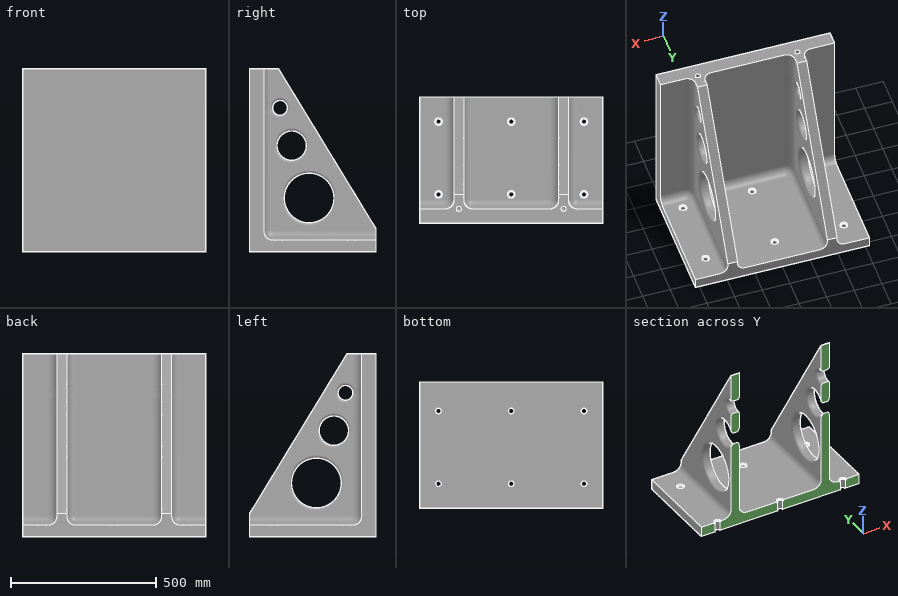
import cadquery as cq
import math

WIDTH = 630.0
DEPTH = 435.0
HEIGHT = 630.0
WALL_THICKNESS = 50.0
BASE_THICKNESS = 40.0
INNER_RADIUS = 30.0

RIB_THICKNESS = 35.0
RIB_OFFSET = 180.0
RIB_TOP_Y = 100.0
RIB_REAR_Z = 80.0

RIB_WINDOWS = [
    (205.0, 185.0, 170.0),
    (145.0, 365.0, 100.0),
    (105.0, 495.0, 50.0),
]
WINDOW_RIM_RADIUS = 10.0

BOLT_COLUMNS_X = (-250.0, 0.0, 250.0)
BOLT_ROWS_Y = (100.0, 350.0)
BOLT_DIAMETER = 18.0
COUNTERBORE_DIAMETER = 26.0
COUNTERBORE_DEPTH = 5.0

LIFT_DIAMETER = 17.5
LIFT_DEPTH = 50.0
LIFT_POINT_ANGLE = 118.0

RIB_CENTERS_X = (-RIB_OFFSET, RIB_OFFSET)


def make_plates():
    """Wall and base joined into an L that runs the full width."""
    outline = [
        (0, 0),
        (DEPTH, 0),
        (DEPTH, BASE_THICKNESS),
        (WALL_THICKNESS, BASE_THICKNESS),
        (WALL_THICKNESS, HEIGHT),
        (0, HEIGHT),
    ]
    return cq.Workplane("YZ").polyline(outline).close().extrude(WIDTH / 2, both=True)


def make_rib(center_x):
    """One rib, sloping from the top of the wall to the rear of the base."""
    outline = [
        (0, 0),
        (DEPTH, 0),
        (DEPTH, RIB_REAR_Z),
        (RIB_TOP_Y, HEIGHT),
        (0, HEIGHT),
    ]
    rib = cq.Workplane("YZ").polyline(outline).close().extrude(RIB_THICKNESS / 2, both=True)
    return rib.translate((center_x, 0, 0))


def round_inner_corners(body):
    """Round every inside edge where the wall, base and ribs meet."""
    tolerance = 0.1
    side = WIDTH / 2 - tolerance
    wall_edges = cq.selectors.BoxSelector(
        (-side, WALL_THICKNESS - tolerance, BASE_THICKNESS - tolerance),
        (side, WALL_THICKNESS + tolerance, HEIGHT - tolerance),
    )
    base_edges = cq.selectors.BoxSelector(
        (-side, WALL_THICKNESS - tolerance, BASE_THICKNESS - tolerance),
        (side, DEPTH - tolerance, BASE_THICKNESS + tolerance),
    )
    return body.edges(wall_edges + base_edges).fillet(INNER_RADIUS)


def cut_rib_windows(body):
    """Bore the windows straight through both ribs, then round their rims on every rib face."""
    for center_y, center_z, diameter in RIB_WINDOWS:
        bore = (
            cq.Workplane("YZ")
            .center(center_y, center_z)
            .circle(diameter / 2)
            .extrude(WIDTH / 2, both=True)
        )
        body = body.cut(bore)
    return body.edges("%CIRCLE").fillet(WINDOW_RIM_RADIUS)


def cut_bolt_holes(body):
    centers = [(x, y) for x in BOLT_COLUMNS_X for y in BOLT_ROWS_Y]
    holes = cq.Workplane("XY").pushPoints(centers).circle(BOLT_DIAMETER / 2).extrude(BASE_THICKNESS)
    counterbores = (
        cq.Workplane("XY", origin=(0, 0, BASE_THICKNESS))
        .pushPoints(centers)
        .circle(COUNTERBORE_DIAMETER / 2)
        .extrude(-COUNTERBORE_DEPTH)
    )
    return body.cut(holes).cut(counterbores)


def cut_lift_holes(body):
    """Blind holes with a conical drill point, centred on the plane of the wall's inner face."""
    radius = LIFT_DIAMETER / 2
    point_length = radius / math.tan(math.radians(LIFT_POINT_ANGLE / 2))
    profile = [
        (0, HEIGHT),
        (radius, HEIGHT),
        (radius, HEIGHT - LIFT_DEPTH),
        (0, HEIGHT - LIFT_DEPTH - point_length),
    ]
    drill = cq.Workplane("XZ").polyline(profile).close().revolve(360, (0, 0, 0), (0, 1, 0))
    for center_x in RIB_CENTERS_X:
        body = body.cut(drill.translate((center_x, WALL_THICKNESS, 0)))
    return body


frame = make_plates()
for rib_x in RIB_CENTERS_X:
    frame = frame.union(make_rib(rib_x))

frame = cut_rib_windows(frame)
frame = round_inner_corners(frame)
frame = cut_bolt_holes(frame)
result = cut_lift_holes(frame)